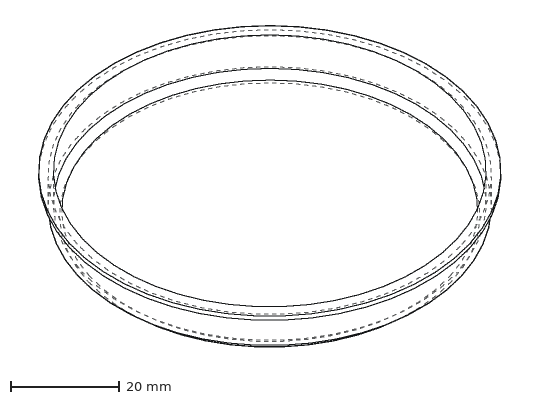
import math

import cadquery as cq

rim_diameter = 85.5
body_diameter = 82.0
total_height = 10.5
rim_thickness = 1.0
wall = 1.0
bevel_face_width = 3.0

cavity_diameter = body_diameter - 2 * wall
bevel_angle = math.radians(45)
outer_bevel = bevel_face_width * math.sin(bevel_angle)
inner_bevel = outer_bevel - wall * (2 - 1 / math.sin(bevel_angle))


def disc(diameter, bottom, height):
    """Solid disc centred on the Z axis, starting at the given height."""
    return cq.Workplane("XY").workplane(offset=bottom).circle(diameter / 2).extrude(height)


def make_body():
    return disc(body_diameter, 0, total_height).faces("<Z").chamfer(outer_bevel)


def make_rim():
    return disc(rim_diameter, total_height - rim_thickness, rim_thickness)


def make_cavity():
    depth = total_height - wall
    return disc(cavity_diameter, wall, depth).faces("<Z").chamfer(inner_bevel)


result = make_body().union(make_rim()).cut(make_cavity())